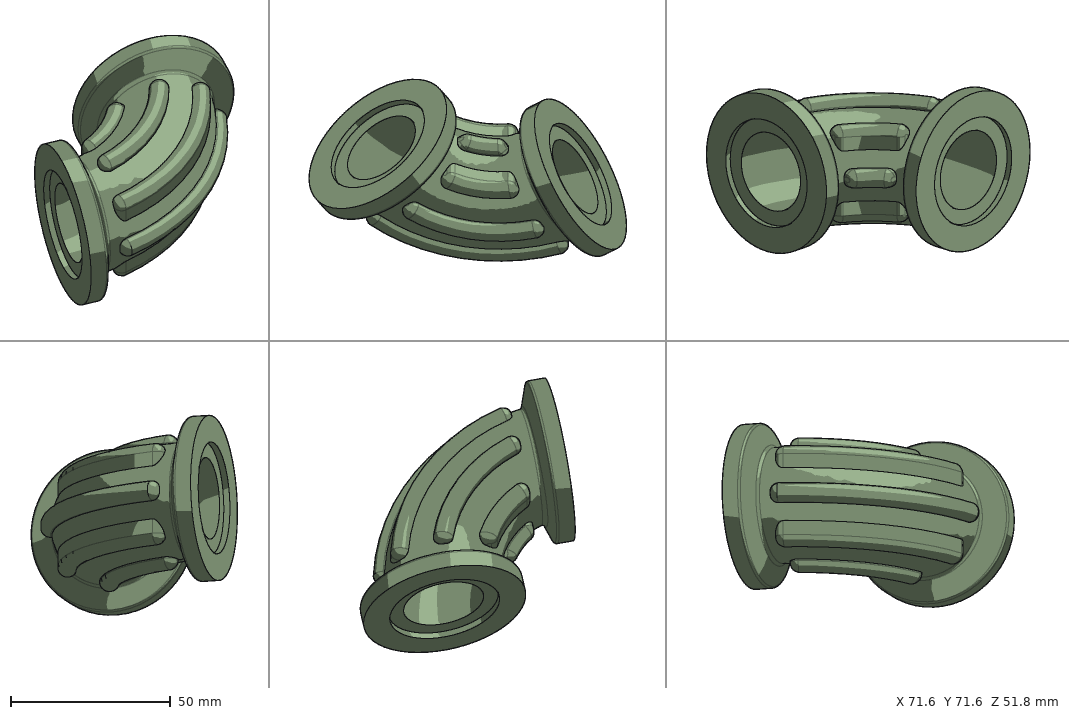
import cadquery as cq
import math

port_reach = 45.72
bend_angle = 90.0
bend_radius = port_reach

pipe_radius = 18.2
bore_radius = 12.75

flange_radius = 51.82 / 2
flange_edge_width = 5.7
flange_back_angle = 20.0
flange_edge_round = 0.8
neck_round = 1.2
neck_overlap = 1.5

seat_radius = 35.05 / 2
seat_depth = 2.0

rib_radius = 3.1
rib_ring_radius = 18.4
rib_end_gap = 12.8
rib_end_round = 2.54

selection_margin = 0.01


def section_plane():
    """Pipe section in the -X port face: X is the distance outward from the pipe axis, Y is Z."""
    return cq.Workplane("YZ", origin=(-port_reach, 0, 0))


def along_bend(profile):
    """Carry a closed pipe-section profile around the bend, from the -X port to the -Y port."""
    return profile.revolve(bend_angle, (-bend_radius, 1, 0), (-bend_radius, 0, 0))


def on_other_port(shape):
    """Copy of a shape on the -X port, placed on the -Y port."""
    return shape.rotate((0, 0, 0), (1, 1, 0), 180)


def make_flange():
    """Flange with a conical back, on the -X port."""
    back_depth = flange_radius - pipe_radius + neck_overlap
    back_end = flange_edge_width + back_depth * math.tan(math.radians(flange_back_angle))
    return (
        cq.Workplane("XY")
        .lineTo(0, flange_radius)
        .lineTo(flange_edge_width, flange_radius)
        .lineTo(back_end, flange_radius - back_depth)
        .lineTo(back_end, 0)
        .close()
        .revolve(360, (0, 0, 0), (1, 0, 0))
        .translate((-port_reach, 0, 0))
    )


def make_shell():
    """Solid bent pipe with both flanges, their back edges and necks rounded."""
    flange = make_flange()
    pipe = along_bend(section_plane().circle(pipe_radius))
    shell = pipe.union(flange).union(on_other_port(flange))
    back_edge = -port_reach + flange_edge_width
    low = back_edge - selection_margin
    high = back_edge + selection_margin
    reach = flange_radius + selection_margin
    back_edge_boxes = (
        ((low, -reach, -reach), (high, reach, reach)),
        ((-reach, low, -reach), (reach, high, reach)),
    )
    for corner, opposite in back_edge_boxes:
        back_rim = cq.selectors.BoxSelector(corner, opposite, boundingbox=True)
        shell = shell.edges(back_rim).fillet(flange_edge_round)
    return shell.edges("%BSPLINE").fillet(neck_round)


def make_rib(profile):
    """Bend a rib profile, cut its ends square to the ports and round them."""
    end = -port_reach + rib_end_gap
    span = 2 * port_reach
    beyond_end = cq.Workplane("XY").box(span, span, span, centered=(False, False, True)).translate((end, end, 0))
    rib = along_bend(profile).intersect(beyond_end)
    return rib.faces("<X or <Y").edges().fillet(rib_end_round)


def add_ribs(body):
    """Eight ribs around the pipe, made as four round-edged bars that each form two opposite ribs."""
    long_bar = 2 * (rib_ring_radius + rib_radius)
    diagonal = rib_ring_radius * math.sqrt(0.5)
    short_bar = 2 * (diagonal + rib_radius)
    width = 2 * rib_radius
    body = body.union(make_rib(section_plane().slot2D(long_bar, width)))
    for offset, length in ((-diagonal, short_bar), (0, long_bar), (diagonal, short_bar)):
        body = body.union(make_rib(section_plane().moveTo(offset, 0).slot2D(length, width, 90)))
    return body


body = add_ribs(make_shell())
bore = along_bend(section_plane().circle(bore_radius))
seat = section_plane().circle(seat_radius).extrude(seat_depth)
result = body.cut(bore).cut(seat).cut(on_other_port(seat))